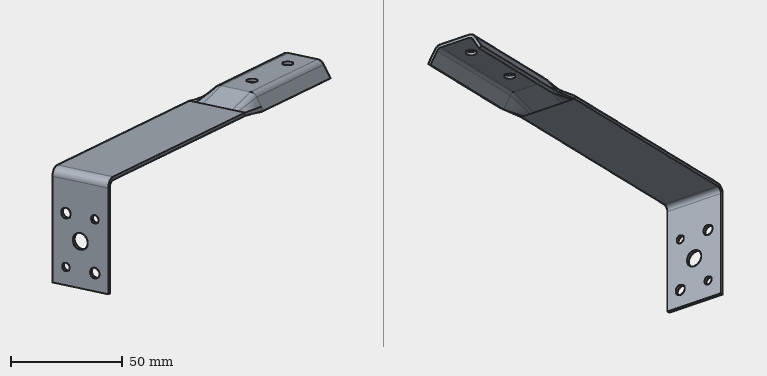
import cadquery as cq
import math

width = 30.0
length = 181.0
height = 59.0
sheet = 1.6

strap_drop = 4.3
strap_top = height - strap_drop
strap_bottom = strap_top - sheet
bend_outer_radius = 4.2
bend_inner_radius = bend_outer_radius - sheet

channel_length = 54.7
transition_length = 15.0
channel_start = length - channel_length
transition_start = channel_start - transition_length
crown_width = 15.7
corner_outer_radius = 4.0
corner_inner_radius = corner_outer_radius - sheet
corner_angle = 57.5
edge_start_drop = 6.0

plate_hole_offset = 7.8
plate_lower_row = 8.7
plate_upper_row = 34.2
plate_centre_row = 22.3
small_hole_diameter = 4.0
large_hole_diameter = 5.0
centre_hole_diameter = 8.0
channel_hole_distances = (12.3, 41.3)


def strap_body():
    """L-shaped strip with a rounded bend."""
    body = (
        cq.Workplane("YZ", origin=(-width / 2, 0, 0))
        .moveTo(0, 0)
        .lineTo(0, strap_top - bend_outer_radius)
        .radiusArc((bend_outer_radius, strap_top), bend_outer_radius)
        .lineTo(transition_start, strap_top)
        .lineTo(transition_start, strap_bottom)
        .lineTo(bend_outer_radius, strap_bottom)
        .radiusArc((sheet, strap_bottom - bend_inner_radius), -bend_inner_radius)
        .lineTo(sheet, 0)
        .close()
        .extrude(width)
    )
    near, far = -plate_hole_offset, plate_hole_offset
    holes = (
        (near, plate_upper_row, large_hole_diameter),
        (far, plate_upper_row, small_hole_diameter),
        (near, plate_lower_row, small_hole_diameter),
        (far, plate_lower_row, large_hole_diameter),
        (0, plate_centre_row, centre_hole_diameter),
    )
    for x, z, diameter in holes:
        drill = cq.Workplane("XZ", origin=(x, 0, z)).circle(diameter / 2).extrude(-sheet)
        body = body.cut(drill)
    return body


def corner_point(radius, angle):
    """Point (x, z) on the right-hand channel corner, at an angle in degrees from the crown."""
    turn = math.radians(angle)
    x = crown_width / 2 + radius * math.sin(turn)
    z = height - corner_outer_radius + radius * math.cos(turn)
    return x, z


def mirrored(point):
    """The same point on the left-hand side."""
    return -point[0], point[1]


outer_crown = corner_point(corner_outer_radius, 0)
outer_middle = corner_point(corner_outer_radius, corner_angle / 2)
outer_leg = corner_point(corner_outer_radius, corner_angle)
inner_crown = corner_point(corner_inner_radius, 0)
inner_middle = corner_point(corner_inner_radius, corner_angle / 2)
inner_leg = corner_point(corner_inner_radius, corner_angle)
leg_run = width / 2 - outer_leg[0]
leg_slope = math.tan(math.radians(corner_angle))
outer_tip = (width / 2, outer_leg[1] - leg_run * leg_slope)
inner_tip = (inner_leg[0] + leg_run, inner_leg[1] - leg_run * leg_slope)

edge_start_z = height - edge_start_drop
edge_start = (outer_leg[0] + (outer_leg[1] - edge_start_z) / leg_slope, edge_start_z)


def channel_section(y):
    """Closed outline of the bent sheet, in the plane at the given Y."""
    return (
        cq.Workplane("XZ", origin=(0, y, 0))
        .moveTo(*mirrored(outer_crown))
        .lineTo(*outer_crown)
        .threePointArc(outer_middle, outer_leg)
        .lineTo(*edge_start)
        .lineTo(*outer_tip)
        .lineTo(*inner_tip)
        .lineTo(*inner_leg)
        .threePointArc(inner_middle, inner_crown)
        .lineTo(*mirrored(inner_crown))
        .threePointArc(mirrored(inner_middle), mirrored(inner_leg))
        .lineTo(*mirrored(inner_tip))
        .lineTo(*mirrored(outer_tip))
        .lineTo(*mirrored(edge_start))
        .lineTo(*mirrored(outer_leg))
        .threePointArc(mirrored(outer_middle), mirrored(outer_crown))
        .close()
    )


def flat_section(y):
    """Strip outline at the given Y, with a matching point for each point of the channel section."""
    right_side = [
        (outer_crown[0], strap_top),
        (outer_leg[0], strap_top),
        (width / 2, strap_top),
        (width / 2, strap_bottom),
        (inner_tip[0], strap_bottom),
        (inner_leg[0], strap_bottom),
        (inner_crown[0], strap_bottom),
    ]
    left_side = [mirrored(point) for point in reversed(right_side)]
    start = left_side[-1]
    outline = [start] + right_side + left_side[:-1]
    return cq.Workplane("XZ", origin=(0, y, 0)).polyline(outline).close()


def handle_body():
    """Channel with its flattening transition, drilled through the crown."""
    channel = channel_section(length).extrude(channel_length)
    channel_wire = channel_section(channel_start).val()
    flat_wire = flat_section(transition_start).val()
    transition = cq.Workplane(cq.Solid.makeLoft([channel_wire, flat_wire], True))
    body = channel.union(transition)
    for distance in channel_hole_distances:
        drill = (
            cq.Workplane("XY", origin=(0, length - distance, height - sheet))
            .circle(large_hole_diameter / 2)
            .extrude(sheet)
        )
        body = body.cut(drill)
    return body


strap = strap_body()
handle = handle_body()
result = cq.Compound.makeCompound([strap.solids().val(), handle.solids().val()])